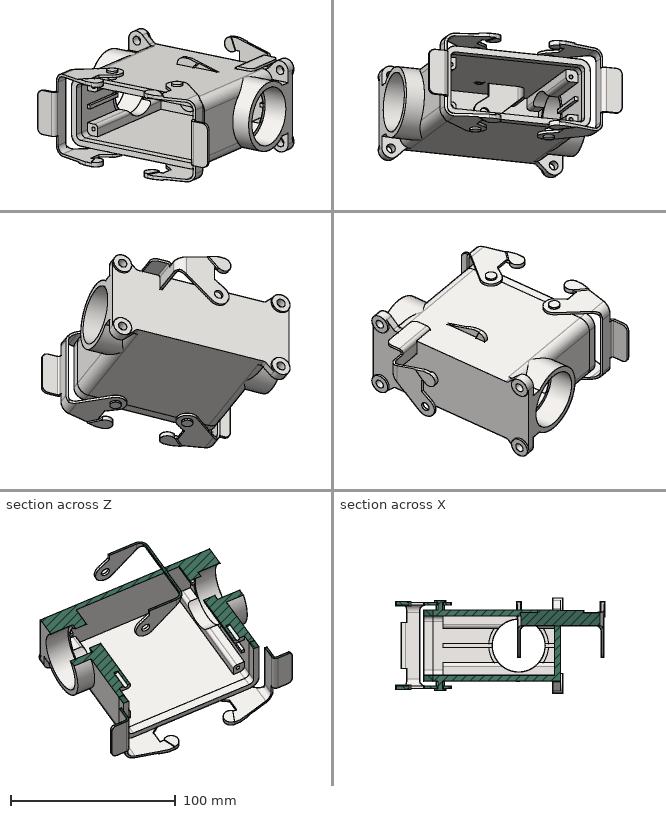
import cadquery as cq
import math

SHELL_WIDTH = 94.1
SHELL_HEIGHT = 43.4
SHELL_CORNER = 7.0
WALL = 3.8
MOUTH_Y = -46.4
BACK_Y = 36.7
SEAL_DEPTH = 5.6

FLANGE_THICKNESS = 4.8
EAR_DIAMETER = 12.0
EAR_HOLE = 5.5
EAR_PAD = 1.4
OVERALL_HEIGHT = 58.0
EAR_OUTER_X = 58.7
EAR_ROOT_X = 42.6
EAR_ROOT_FILLET = 2.5

ENTRY_Y = 11.2
ENTRY_DIAMETER = 43.4
ENTRY_BORE = 36.3
ENTRY_HOLE = 32.0
ENTRY_WEB = 0.3
ENTRY_BLOCK_HEIGHT = 32.1

POST_SIDE = 7.6
POST_CORNER = 2.4
POST_ROOT = 1.3
POST_FRONT_Y = -34.8
POST_HOLE = 2.4
POST_HOLE_INSET = 4.5
POST_HOLE_DEPTH = 12.7
RIB_DEPTH = 2.0
RIB_HEIGHT = 2.4

PIVOT_X = 23.8
PIVOT_Y = -36.4
PIN_DIAMETER = 5.0
PIN_HEAD_DIAMETER = 7.0
PIN_HEAD = 1.3

SHEET = 1.6
LEVER_HALF_SPAN = 26.1
PIVOT_EYE_RADIUS = 6.8
LEVER_HOLE = 5.5
BACK_EDGE_ANGLE = 40
FRONT_EDGE_ANGLE = 15
BRIDGE_X = 27.4
BRIDGE_TOP = 12.3
BEND_RADIUS = 6.0
SLOT_X = 2.7
SLOT_TOP = 10.3
SLOT_BOTTOM = 18.9
TIP_X = -3.2
TIP_REACH = 27.0
TIP_RADIUS = 4.7
TIP_FLAT_END = 1.0
HOOK_OUTER_STEP = 0.6
HOOK_INNER_STEP = 0.6
HOOK_SLOPE = 0.8
HOOK_STEP_X = 1.5
HOOK_STEP_ANGLE = 45
TAB_END_X = 38.7
TAB_WIDTH = 28.0
TAB_REACH = 23.7
TAB_BEND = 2.8
TAB_CORNER = 3.8

LOOSE_PIVOT = (0, BACK_Y, -0.4)

SEAL_BACK_Y = MOUTH_Y + SEAL_DEPTH
INNER_X = SHELL_WIDTH / 2 - WALL
INNER_Z = SHELL_HEIGHT / 2 - WALL
CAVITY_BACK_Y = BACK_Y - WALL
FLANGE_FRONT_Y = BACK_Y - FLANGE_THICKNESS
EAR_RADIUS = EAR_DIAMETER / 2
EAR_X = EAR_OUTER_X - EAR_RADIUS
EAR_Z = OVERALL_HEIGHT / 2 - EAR_RADIUS
TIP_Y = TIP_RADIUS - TIP_REACH
TIP_SLOT_X = TIP_X + math.sqrt(TIP_RADIUS**2 - (SLOT_BOTTOM + TIP_Y) ** 2)
SIDES = (-1, 1)
CORNERS = [(sx, sz) for sx in SIDES for sz in SIDES]


def bar_along_y(width, height, y_start, y_end, corner=0):
    """Box centred on the Y axis, with its long edges rounded when a corner radius is given."""
    bar = cq.Workplane("XY").box(width, y_end - y_start, height).translate((0, (y_start + y_end) / 2, 0))
    return bar.edges("|Y").fillet(corner) if corner else bar


def rod_along_x(diameter, x_start, x_end, y):
    rod = cq.Workplane("YZ", origin=(x_start, 0, 0)).center(y, 0).circle(diameter / 2)
    return rod.extrude(x_end - x_start)


def rod_along_y(diameter, y_start, y_end, x, z):
    rod = cq.Workplane("XZ", origin=(0, y_start, 0)).center(x, z).circle(diameter / 2)
    return rod.extrude(y_start - y_end)


def shell_tube(y_start, y_end):
    """Rounded tube with the shell's wall section."""
    outside = bar_along_y(SHELL_WIDTH, SHELL_HEIGHT, y_start, y_end, SHELL_CORNER)
    inside = bar_along_y(2 * INNER_X, 2 * INNER_Z, y_start, y_end, SHELL_CORNER - WALL)
    return outside.cut(inside)


def ear(side_x, side_z):
    """Flange ear with a raised pad; its inner flank slopes from the round down to the shell."""
    root_dx = EAR_X - EAR_ROOT_X
    root_dz = EAR_Z - SHELL_HEIGHT / 2
    root_distance = math.hypot(root_dx, root_dz)
    touch = math.atan2(-root_dz, -root_dx) - math.acos(EAR_RADIUS / root_distance)
    touch_point = (EAR_X + EAR_RADIUS * math.cos(touch), EAR_Z + EAR_RADIUS * math.sin(touch))
    plate = (
        cq.Workplane("XZ", origin=(0, BACK_Y, 0))
        .moveTo(EAR_OUTER_X, 0)
        .lineTo(EAR_OUTER_X, EAR_Z)
        .threePointArc((EAR_X, EAR_Z + EAR_RADIUS), touch_point)
        .lineTo(EAR_ROOT_X, SHELL_HEIGHT / 2)
        .lineTo(EAR_ROOT_X - EAR_ROOT_FILLET, SHELL_HEIGHT / 2)
        .lineTo(EAR_ROOT_X - EAR_ROOT_FILLET, 0)
        .close()
        .extrude(FLANGE_THICKNESS)
    )
    root = cq.NearestToPointSelector((EAR_ROOT_X, BACK_Y - FLANGE_THICKNESS / 2, SHELL_HEIGHT / 2))
    plate = plate.edges(root).fillet(EAR_ROOT_FILLET)
    pad = rod_along_y(EAR_DIAMETER, FLANGE_FRONT_Y, BACK_Y + EAR_PAD, EAR_X, EAR_Z)
    body = plate.union(pad)
    if side_x < 0:
        body = body.mirror("YZ")
    if side_z < 0:
        body = body.mirror("XY")
    return body


def cable_entry(side):
    """Round collar joined to the flange by a flat-topped block."""
    collar = rod_along_x(ENTRY_DIAMETER, side * (SHELL_WIDTH / 2 - SHELL_CORNER), side * EAR_OUTER_X, ENTRY_Y)
    block = bar_along_y(EAR_OUTER_X - INNER_X, ENTRY_BLOCK_HEIGHT, ENTRY_Y, BACK_Y)
    return collar.union(block.translate((side * (EAR_OUTER_X + INNER_X) / 2, 0, 0)))


def entry_bore(side):
    """Stepped bore: the wide part stops at a thin web, the narrow one enters the cavity."""
    wide = rod_along_x(ENTRY_BORE, side * (INNER_X + ENTRY_WEB), side * EAR_OUTER_X, ENTRY_Y)
    narrow = rod_along_x(ENTRY_HOLE, 0, side * EAR_OUTER_X, ENTRY_Y)
    return wide.union(narrow)


def screw_post(side_x, side_z):
    """Post along a cavity corner, reaching into the walls, with a blind screw hole in its front end."""
    size = POST_SIDE + POST_ROOT
    post = bar_along_y(size, size, POST_FRONT_Y, CAVITY_BACK_Y + POST_ROOT)
    inward_x = ">X" if side_x < 0 else "<X"
    inward_z = ">Z" if side_z < 0 else "<Z"
    post = post.faces(inward_x).edges(inward_z).fillet(POST_CORNER)
    offset = POST_SIDE - size / 2
    post = post.translate((side_x * (INNER_X - offset), 0, side_z * (INNER_Z - offset)))
    hole = rod_along_y(
        POST_HOLE,
        POST_FRONT_Y,
        POST_FRONT_Y + POST_HOLE_DEPTH,
        side_x * (INNER_X - POST_HOLE_INSET),
        side_z * (INNER_Z - POST_HOLE_INSET),
    )
    return post.cut(hole)


def guide_rib(side):
    rib = bar_along_y(RIB_DEPTH + POST_ROOT, RIB_HEIGHT, POST_FRONT_Y, CAVITY_BACK_Y + POST_ROOT)
    return rib.translate((side * (INNER_X + (POST_ROOT - RIB_DEPTH) / 2), 0, 0))


def pivot_pin(side_x, side_z):
    """Headed pin standing on the shell's top or bottom wall."""
    base_z = SHELL_HEIGHT / 2 - WALL / 2
    pin = cq.Workplane("XY", origin=(side_x * PIVOT_X, PIVOT_Y, base_z))
    pin = pin.circle(PIN_DIAMETER / 2).extrude(LEVER_HALF_SPAN - base_z)
    pin = pin.faces(">Z").workplane().circle(PIN_HEAD_DIAMETER / 2).extrude(PIN_HEAD)
    return pin if side_z > 0 else pin.mirror("XY")


def make_housing(loose_lever):
    housing = shell_tube(SEAL_BACK_Y, BACK_Y)
    housing = housing.union(bar_along_y(2 * EAR_ROOT_X, SHELL_HEIGHT, FLANGE_FRONT_Y, BACK_Y))
    cavity = bar_along_y(2 * INNER_X, 2 * INNER_Z, SEAL_BACK_Y, CAVITY_BACK_Y, SHELL_CORNER - WALL)
    for side in SIDES:
        housing = housing.union(cable_entry(side))
    for side_x, side_z in CORNERS:
        housing = housing.union(ear(side_x, side_z))
    housing = housing.cut(cavity)
    for side in SIDES:
        housing = housing.union(guide_rib(side))
    for side_x, side_z in CORNERS:
        housing = housing.union(screw_post(side_x, side_z))
        housing = housing.union(pivot_pin(side_x, side_z))
        housing = housing.cut(
            rod_along_y(EAR_HOLE, FLANGE_FRONT_Y, BACK_Y + EAR_PAD, side_x * EAR_X, side_z * EAR_Z)
        )
    for side in SIDES:
        housing = housing.cut(entry_bore(side))
    return housing.cut(loose_lever)


def make_seal():
    """Rim that closes the shell's mouth, flush inside and outside."""
    return shell_tube(MOUTH_Y, SEAL_BACK_Y)


def arm_outline(z):
    """Flat outline of an arm: pivot eye, sloped back edge, bridge edge, hook tip and slot."""
    back_angle = math.radians(BACK_EDGE_ANGLE)
    eye_back = (PIVOT_EYE_RADIUS * math.sin(back_angle), PIVOT_EYE_RADIUS * math.cos(back_angle))
    back_end_x = eye_back[0] + (BRIDGE_TOP + eye_back[1]) / math.tan(back_angle)
    bridge_bottom = TIP_REACH - (BRIDGE_X - TIP_FLAT_END) * math.tan(math.radians(FRONT_EDGE_ANGLE))
    slot_distance = math.hypot(SLOT_X, SLOT_TOP)
    touch = math.atan2(-SLOT_TOP, SLOT_X) - math.acos(PIVOT_EYE_RADIUS / slot_distance)
    eye_front = (PIVOT_EYE_RADIUS * math.cos(touch), PIVOT_EYE_RADIUS * math.sin(touch))
    return (
        cq.Workplane("XY", origin=(0, 0, z))
        .moveTo(*eye_back)
        .lineTo(back_end_x, -BRIDGE_TOP)
        .lineTo(BRIDGE_X, -BRIDGE_TOP)
        .lineTo(BRIDGE_X, -bridge_bottom)
        .lineTo(TIP_FLAT_END, -TIP_REACH)
        .lineTo(TIP_X, -TIP_REACH)
        .threePointArc((TIP_X - TIP_RADIUS, TIP_Y), (TIP_SLOT_X, -SLOT_BOTTOM))
        .lineTo(SLOT_X, -SLOT_BOTTOM)
        .lineTo(SLOT_X, -SLOT_TOP)
        .lineTo(*eye_front)
        .threePointArc((-PIVOT_EYE_RADIUS, 0), eye_back)
        .close()
    )


def channel(half_span, outer_x, bend, length):
    """Solid bar along Y with rounded outer corners, from which the bent sheet is hollowed."""
    start_x = -2 * PIVOT_EYE_RADIUS
    bar = cq.Workplane("XY").box(outer_x - start_x, length, 2 * half_span)
    return bar.edges(">X and |Y").fillet(bend).translate(((outer_x + start_x) / 2, 0, 0))


def bent_sheet():
    """Two arms joined by a bridge, as one sheet bent into a U."""
    length = 3 * TIP_REACH
    outside = channel(LEVER_HALF_SPAN, BRIDGE_X, BEND_RADIUS, length)
    inside = channel(LEVER_HALF_SPAN - SHEET, BRIDGE_X - SHEET, BEND_RADIUS - SHEET, length)
    blank = arm_outline(-LEVER_HALF_SPAN).extrude(2 * LEVER_HALF_SPAN)
    return blank.intersect(outside.cut(inside))


def hook_outer_pad():
    """Thickened outer face of the hook, ending in a slope that crosses the arm diagonally."""
    pad = arm_outline(LEVER_HALF_SPAN).extrude(HOOK_OUTER_STEP)
    span = 2 * TIP_REACH
    section = (
        cq.Workplane("XZ")
        .polyline([(0, 0), (-HOOK_SLOPE, HOOK_OUTER_STEP), (-span, HOOK_OUTER_STEP), (-span, 0)])
        .close()
        .extrude(span, both=True)
        .rotate((0, 0, 0), (0, 0, 1), HOOK_STEP_ANGLE)
        .translate((HOOK_STEP_X, -SLOT_BOTTOM, LEVER_HALF_SPAN))
    )
    return pad.intersect(section)


def hook_inner_pad():
    """Thickened inner face of the hook tip, ending at a step from the slot to the tip's lowest point."""
    base_z = LEVER_HALF_SPAN - SHEET - HOOK_INNER_STEP
    tip_top = 2 * TIP_RADIUS - TIP_REACH
    tip_side = (
        cq.Workplane("XY", origin=(0, 0, base_z))
        .moveTo(TIP_SLOT_X, tip_top)
        .lineTo(TIP_SLOT_X, -SLOT_BOTTOM)
        .lineTo(TIP_X, -TIP_REACH)
        .line(-TIP_RADIUS, 0)
        .lineTo(TIP_X - TIP_RADIUS, tip_top)
        .close()
        .extrude(HOOK_INNER_STEP)
    )
    return arm_outline(base_z).extrude(HOOK_INNER_STEP).intersect(tip_side)


def tab():
    """Finger tab bent outward from the middle of the bridge."""
    inner_x = BRIDGE_X - SHEET
    start = BRIDGE_TOP + BEND_RADIUS
    strip = (
        cq.Workplane("XY", origin=(0, 0, -TAB_WIDTH / 2))
        .moveTo(inner_x, -start)
        .lineTo(inner_x, TAB_BEND - TAB_REACH)
        .radiusArc((inner_x + TAB_BEND, -TAB_REACH), -TAB_BEND)
        .lineTo(TAB_END_X, -TAB_REACH)
        .lineTo(TAB_END_X, SHEET - TAB_REACH)
        .lineTo(inner_x + TAB_BEND, SHEET - TAB_REACH)
        .radiusArc((BRIDGE_X, TAB_BEND - TAB_REACH), TAB_BEND - SHEET)
        .lineTo(BRIDGE_X, -start)
        .close()
        .extrude(TAB_WIDTH)
    )
    return strip.faces(">X").edges("|Y").fillet(TAB_CORNER)


def make_lever():
    """One lever with its pivot axis on Z and its hooks and bridge toward -Y."""
    lever = bent_sheet().union(tab())
    for pad in (hook_outer_pad(), hook_inner_pad()):
        lever = lever.union(pad).union(pad.mirror("XY"))
    hole = cq.Workplane("XY").circle(LEVER_HOLE / 2).extrude(2 * LEVER_HALF_SPAN, both=True)
    return lever.cut(hole)


side_levers = []
for side in SIDES:
    lever = make_lever() if side > 0 else make_lever().mirror("YZ")
    side_levers.append(lever.translate((side * PIVOT_X, PIVOT_Y, 0)))
loose_lever = make_lever().rotate((0, 0, 0), (1, 0, 0), -90).translate(LOOSE_PIVOT)
housing = make_housing(loose_lever)
seal = make_seal()

result = cq.Compound.makeCompound(
    [housing.val(), seal.val(), *[lever.val() for lever in side_levers], loose_lever.val()]
)